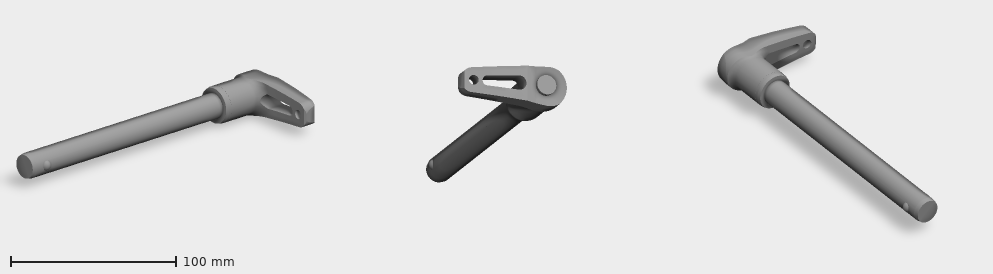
import cadquery as cq
import math


total_length = 196.2
pin_radius = 8.0
tip_chamfer_length = 3.0
tip_radius = 7.5
ball_position = 11.2
ball_radius = 3.3
ball_center_offset = 6.3

collar_start = 154.0
collar_radius = 11.8
collar_end_radius = 11.2
rim_length = 2.0
ring_start = collar_start + 2 * rim_length
ring_step = 0.1
flare_radius = 5.9
lever_underside = 182.9
flare_start = lever_underside - flare_radius

button_radius = 6.0

head_radius = 12.4
head_center = -2.5
lever_left = head_center - head_radius
lever_right = 52.2
tip_corner_radius = 6.3
tip_half_width = 7.8
slot_start_center = 17.3
slot_start_radius = 4.5
slot_end_center = 36.7
slot_end_radius = 3.1
hole_center = 45.1
hole_radius = 3.0

head_top = 193.6
dish_bottom = 192.9
dish_end = 5.9
crest_x = 12.0
crest_height = 195.5
arm_top_mid = (34.1, 193.3)
tip_top = 190.3
tip_bottom = 181.3
tip_slant = 1.4
tip_edge = 1.2
underside_bend = 19.6

back_face_radius = 14.1
back_face_slant = 1.2


def tapered_outline(plane, x1, r1, x2, r2):
    """Two arcs joined by their common tangent lines, symmetric about local x."""
    tangent_cos = (r1 - r2) / (x2 - x1)
    tangent_sin = math.sqrt(1 - tangent_cos ** 2)
    return (
        plane.moveTo(x1 + r1 * tangent_cos, r1 * tangent_sin)
        .lineTo(x2 + r2 * tangent_cos, r2 * tangent_sin)
        .threePointArc((x2 + r2, 0), (x2 + r2 * tangent_cos, -r2 * tangent_sin))
        .lineTo(x1 + r1 * tangent_cos, -r1 * tangent_sin)
        .threePointArc((x1 - r1, 0), (x1 + r1 * tangent_cos, r1 * tangent_sin))
        .close()
    )


def make_lever_plan():
    """Round head with straight sides narrowing to a tip with rounded corners."""
    corner_x = lever_right - tip_corner_radius
    corner_z = tip_half_width - tip_corner_radius
    span = math.hypot(corner_x - head_center, corner_z)
    center_line = math.atan2(corner_z, corner_x - head_center)
    normal = math.acos((head_radius - tip_corner_radius) / span) + center_line
    head_tangent = (head_center + head_radius * math.cos(normal), head_radius * math.sin(normal))
    side_end = (
        corner_x + tip_corner_radius * math.cos(normal),
        corner_z + tip_corner_radius * math.sin(normal),
    )
    corner_mid = (
        corner_x + tip_corner_radius * math.cos(normal / 2),
        corner_z + tip_corner_radius * math.sin(normal / 2),
    )
    return (
        cq.Workplane("XZ")
        .moveTo(*head_tangent)
        .lineTo(*side_end)
        .threePointArc(corner_mid, (lever_right, corner_z))
        .lineTo(lever_right, -corner_z)
        .threePointArc((corner_mid[0], -corner_mid[1]), (side_end[0], -side_end[1]))
        .lineTo(head_tangent[0], -head_tangent[1])
        .threePointArc((lever_left, 0), head_tangent)
        .close()
        .extrude(-total_length)
    )


def make_lever_profile():
    """Side shape of the lever: dished head, crest, drooping arm and slanted tip."""
    underside_end = lever_right - tip_edge
    underside_mid = (
        (underside_bend + underside_end) / 2,
        lever_underside - (lever_underside - tip_bottom) / 4,
    )
    return (
        cq.Workplane("XY")
        .moveTo(lever_left, lever_underside)
        .lineTo(lever_left, head_top)
        .threePointArc(((lever_left + dish_end) / 2, dish_bottom), (dish_end, head_top))
        .lineTo(crest_x, crest_height)
        .threePointArc(arm_top_mid, (lever_right - tip_slant, tip_top))
        .lineTo(lever_right, tip_bottom + tip_edge)
        .lineTo(underside_end, tip_bottom)
        .threePointArc(underside_mid, (underside_bend, lever_underside))
        .close()
        .extrude(head_radius, both=True)
    )


def make_back_face_envelope():
    """Leaning cylinder, extended far to the right, that trims the back of the head."""
    lean = math.degrees(math.atan2(back_face_slant, head_top - lever_underside))
    center_x = lever_left + back_face_radius
    cylinder = cq.Workplane("XZ").circle(back_face_radius).extrude(-total_length / 2, both=True)
    block = (
        cq.Workplane("XY")
        .box(total_length, total_length, 2 * back_face_radius, centered=(False, True, True))
    )
    return (
        cylinder.union(block)
        .rotate((0, 0, 0), (0, 0, 1), -lean)
        .translate((center_x, lever_underside, 0))
    )


def make_shaft_and_collar():
    """Turned pin and collar, including the flare up to the lever underside."""
    flare_outer = collar_radius + flare_radius
    arc_offset = flare_radius * math.sqrt(0.5)
    return (
        cq.Workplane("XY")
        .lineTo(tip_radius, 0)
        .lineTo(pin_radius, tip_chamfer_length)
        .lineTo(pin_radius, collar_start)
        .lineTo(collar_end_radius, collar_start)
        .lineTo(collar_radius - ring_step, collar_start + rim_length)
        .lineTo(collar_radius - ring_step, ring_start)
        .lineTo(collar_radius, ring_start)
        .lineTo(collar_radius, flare_start)
        .threePointArc((flare_outer - arc_offset, flare_start + arc_offset), (flare_outer, lever_underside))
        .lineTo(0, lever_underside)
        .close()
        .revolve(360, (0, 0, 0), (0, 1, 0))
    )


def make_openings():
    """Tapered slot and round hole through the lever arm."""
    slot = tapered_outline(
        cq.Workplane("XZ"), slot_start_center, slot_start_radius, slot_end_center, slot_end_radius
    ).extrude(-total_length)
    hole = cq.Workplane("XZ").center(hole_center, 0).circle(hole_radius).extrude(-total_length)
    return slot.union(hole)


plan = make_lever_plan()
lever = plan.intersect(make_lever_profile()).intersect(make_back_face_envelope())
body = make_shaft_and_collar().intersect(plan).union(lever).cut(make_openings())

button = (
    cq.Workplane("XZ", origin=(0, lever_underside, 0))
    .circle(button_radius)
    .extrude(lever_underside - total_length)
)
result = body.union(button)

for side in (-1, 1):
    ball = cq.Workplane("XY").sphere(ball_radius).translate((side * ball_center_offset, ball_position, 0))
    result = result.union(ball)